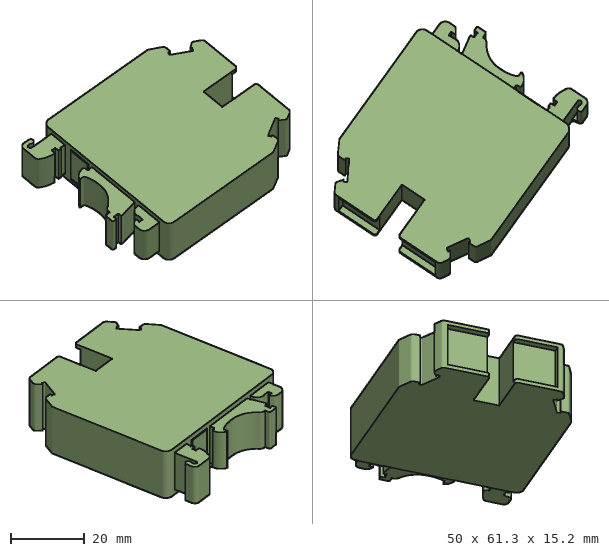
import cadquery as cq
import math

width = 50.0
length = 61.3
thickness = 15.2
foot_depth = 9.15
top_y = length - foot_depth
half_width = width / 2
base_radius = 2.1

slot_half_width = 3.75
slot_floor_y = 39.6
slot_lip_radius = 0.8

plate_thickness = 1.2
recess_depth = 1.9
recess_end_x = 15.95

foot_margin = 1.65
foot_thickness = thickness - 2 * foot_margin
web_thickness = 1.5

left_foot_x = -21.75
hook_gap = 1.2
hook_tip_y = -5.1
groove_floor_y = -7.8

arch_y = -2.8
arch_radius = 8.1
arch_entry_radius = 11.05
middle_toe_x = 12.6
middle_right_x = 11.5

right_foot_x = 21.4
right_foot_y = -5.7

pad_left = -14.05
pad_right = -6.85
pad_height = 0.25


def unit(start, end):
    """Unit direction from one corner to another."""
    span = math.hypot(end[0] - start[0], end[1] - start[1])
    return (end[0] - start[0]) / span, (end[1] - start[1]) / span


def prism(corners, bottom, height):
    """Extrude a closed outline of (x, y, radius) corners; radius 0 stays sharp."""
    sketch = None
    for index, (x, y, radius) in enumerate(corners):
        before = unit((x, y), corners[index - 1])
        after = unit((x, y), corners[(index + 1) % len(corners)])
        half_angle = math.acos(before[0] * after[0] + before[1] * after[1]) / 2
        setback = radius / math.tan(half_angle)
        arc_start = (x + setback * before[0], y + setback * before[1])
        if sketch is None:
            sketch = cq.Workplane("XY", origin=(0, 0, bottom)).moveTo(*arc_start)
        else:
            sketch = sketch.lineTo(*arc_start)
        if radius > 0:
            bisector = unit((0, 0), (before[0] + after[0], before[1] + after[1]))
            middle_offset = radius / math.sin(half_angle) - radius
            arc_middle = (x + middle_offset * bisector[0], y + middle_offset * bisector[1])
            arc_end = (x + setback * after[0], y + setback * after[1])
            sketch = sketch.threePointArc(arc_middle, arc_end)
    return sketch.close().extrude(height)


def housing():
    """Symmetric body with notched shoulders and the wire entry slot."""
    left_side = [
        (-half_width, 0, base_radius),
        (-half_width, 38.7, 0.6),
        (-22.75, 42.8, 1.1),
        (-20.2, 42.8, 0.2),
        (-20.55, 42.2, 0),
        (-19.7, 41.7, 0.25),
        (-16.35, 47.45, 0.2),
        (-17.3, 47.95, 0),
        (-17.55, 47.4, 0),
        (-18.95, 49.35, 0.85),
        (-17.35, top_y, 1.2),
        (-slot_half_width, top_y, slot_lip_radius),
        (-slot_half_width, slot_floor_y, 0),
    ]
    right_side = [(-x, y, radius) for x, y, radius in reversed(left_side)]
    return prism(left_side + right_side, 0, thickness)


def top_recess(side):
    """Cutter for the recess beside the slot; side is -1 for left, 1 for right."""
    floor_y = top_y - recess_depth
    return prism([
        (side * slot_half_width, floor_y, 0),
        (side * recess_end_x, floor_y, 0),
        (side * recess_end_x, top_y, 0),
        (side * slot_half_width, top_y, 0),
    ], plate_thickness, thickness - 2 * plate_thickness)


def left_foot():
    """Stem with a catch on its inner side and an upturned hook."""
    hook_inner_x = left_foot_x - hook_gap
    return prism([
        (left_foot_x, 0, 0),
        (left_foot_x, groove_floor_y, 0.4),
        (hook_inner_x, groove_floor_y, 0.4),
        (hook_inner_x, -6.6, 0.2),
        (-22.75, -6.2, 0.2),
        (-22.75, hook_tip_y, 0.75),
        (-24.4, hook_tip_y, 0.8),
        (-24.4, -foot_depth, 1.4),
        (-17.7, -foot_depth, 1.35),
        (-16.2, -6.5, 8.6),
        (-15.95, -4.05, 0.2),
        (-17.35, -3.85, 0),
        (-17.35, -2.7, 0),
        (-16.05, -2.6, 0),
        (-16.05, -1.6, 0),
        (-16.5, -1.6, 0),
        (-16.25, 0, 0),
    ], foot_margin, foot_thickness)


def hook_web():
    """Thin floor closing the lower end of the hook groove."""
    return prism([
        (left_foot_x, -4.35, 0),
        (-22.25, -4.8, 0.25),
        (-23.6, hook_tip_y, 0),
        (-23.6, groove_floor_y, 0),
        (left_foot_x, groove_floor_y, 0),
    ], foot_margin, web_thickness)


def middle_foot():
    """Arched foot with a claw on the left and a grooved toe on the right."""
    return prism([
        (-5.5, 0, 0),
        (-5.5, -1.55, 0),
        (-6.85, -1.8, 0.35),
        (-6.85, -4.3, 3.5),
        (-4.9, -5.3, 0),
        (-4.55, -5.3, 0),
        (-4.55, -3.8, 0.8),
        (-1.9, arch_y, arch_entry_radius),
        (5.4, arch_y, arch_radius),
        (8.35, -7.5, 1.55),
        (9.55, -7.5, 0),
        (9.6, -foot_depth, 0.35),
        (middle_toe_x, -foot_depth, 0.3),
        (middle_toe_x, -7.7, 0.1),
        (middle_right_x, -7.7, 0),
        (middle_right_x, -6.05, 0),
        (middle_toe_x, -6.05, 0),
        (middle_toe_x, -5.4, 0),
        (middle_right_x, 0, 0),
    ], foot_margin, foot_thickness)


def right_foot():
    """Foot with an inward hook facing the middle foot."""
    return prism([
        (13.0, 0, 0),
        (13.35, -2.8, 2.15),
        (15.3, -2.8, 0),
        (15.9, -2.7, 0),
        (17.55, -2.7, 0),
        (17.55, -3.85, 0),
        (16.1, -3.85, 0.2),
        (17.15, right_foot_y, 1.35),
        (right_foot_x, right_foot_y, 2.0),
        (right_foot_x, 0, 0),
    ], foot_margin, foot_thickness)


def pad():
    """Shallow pad on the underside, sloped at both ends."""
    return prism([
        (pad_left, 0, 0),
        (pad_left + pad_height, -pad_height, 0),
        (pad_right - pad_height, -pad_height, 0),
        (pad_right, 0, 0),
    ], foot_margin, foot_thickness)


result = housing()
for side in (-1, 1):
    result = result.cut(top_recess(side))
for feature in (left_foot(), hook_web(), middle_foot(), right_foot(), pad()):
    result = result.union(feature)